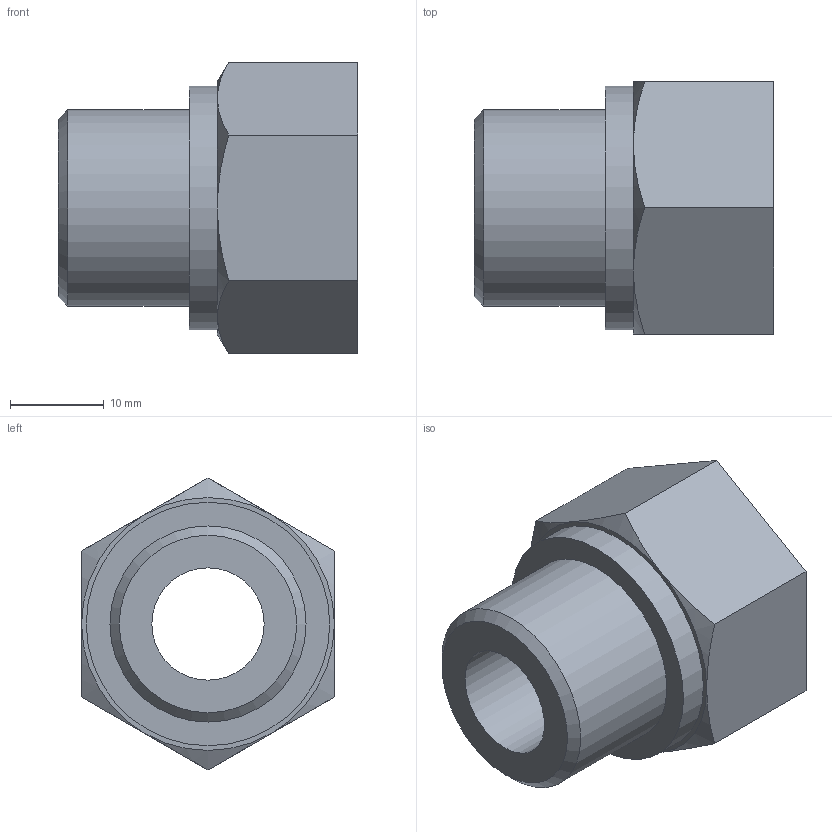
import cadquery as cq
import math

spigot_length = 14.0
collar_length = 3.0
hex_length = 15.0
hex_start = spigot_length + collar_length
total_length = hex_start + hex_length

spigot_diameter = 20.95
spigot_chamfer = 1.0
collar_diameter = 26.0
bore_diameter = 12.0
across_flats = 27.0
across_corners = across_flats / math.cos(math.radians(30))

corner_chamfer_angle = 30.0

envelope_clearance = 1.0


def cylinder_along_x(start, length, diameter):
    """Cylinder on the X axis, running towards +X from start."""
    return cq.Workplane("YZ", origin=(start, 0, 0)).circle(diameter / 2).extrude(length)


def make_spigot():
    spigot = cylinder_along_x(0, spigot_length, spigot_diameter)
    return spigot.faces("<X").chamfer(spigot_chamfer)


def make_corner_envelope():
    """Turned envelope whose cone trims the front corners of the hexagon."""
    face_radius = across_flats / 2
    outer_radius = across_corners / 2 + envelope_clearance
    cone_length = (outer_radius - face_radius) * math.tan(math.radians(corner_chamfer_angle))
    profile = [
        (hex_start, 0),
        (hex_start, face_radius),
        (hex_start + cone_length, outer_radius),
        (total_length, outer_radius),
        (total_length, 0),
    ]
    return cq.Workplane("XY").polyline(profile).close().revolve(360, (0, 0, 0), (1, 0, 0))


def make_hexagon():
    """Hexagon with flats facing +Y and -Y and corners on the Z axis."""
    quarter_turn = 90
    prism = (
        cq.Workplane("YZ", origin=(hex_start, 0, 0))
        .polygon(6, across_corners)
        .extrude(hex_length)
        .rotate((0, 0, 0), (1, 0, 0), quarter_turn)
    )
    return prism.intersect(make_corner_envelope())


collar = cylinder_along_x(spigot_length, collar_length, collar_diameter)
bore = cylinder_along_x(0, total_length, bore_diameter)

result = make_spigot().union(collar).union(make_hexagon()).cut(bore)